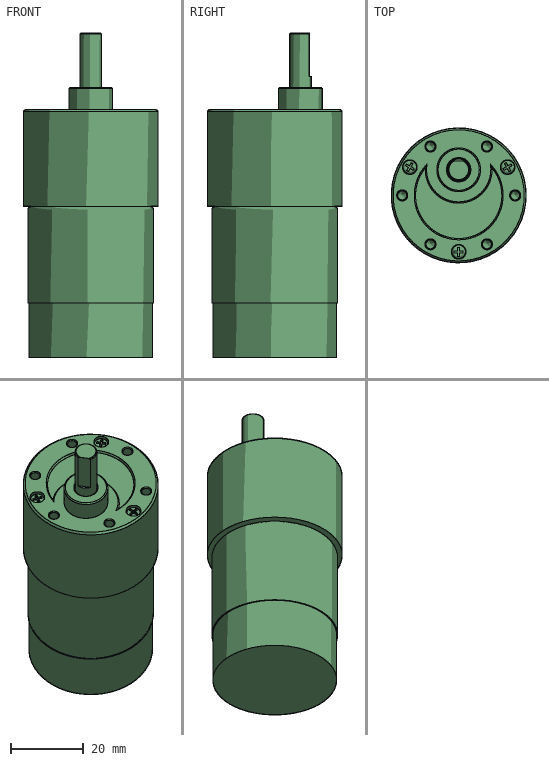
import cadquery as cq
import math

total_height = 89.0
end_cap_diameter = 34.0
end_cap_height = 14.95
motor_diameter = 34.5
motor_height = 26.5
motor_top_rounding = 1.0
gearbox_diameter = 37.0
gearbox_height = 26.6
gearbox_chamfer = 0.5

shaft_offset = 7.0
boss_diameter = 12.0
boss_height = 6.05
boss_chamfer = 0.4
shaft_diameter = 6.0
shaft_chamfer = 0.3
flat_depth = 0.5
flat_start = 3.0
bore_diameter = 6.1
bore_depth = 1.0
bore_chamfer = 0.3

recess_diameter = 24.4
recess_island_diameter = 17.6
recess_depth = 0.5
recess_wall_slope = 0.4

bolt_circle_radius = 15.5
hole_count = 6
hole_diameter = 2.5
hole_chamfer = 0.3
hole_depth = 4.0
drill_tip_angle = 118
screw_count = 3
screw_first_angle = 30
screw_bore_diameter = 4.0
screw_bore_depth = 2.0
screw_head_diameter = 3.7
screw_head_height = 1.5
screw_head_rounding = 0.5
cross_length = 2.5
cross_width = 0.5
cross_depth = 0.7

motor_top = end_cap_height + motor_height
gearbox_top = motor_top + gearbox_height
boss_top = gearbox_top + boss_height


def cylinder(diameter, bottom, height, y=0):
    return cq.Workplane("XY", origin=(0, y, bottom)).circle(diameter / 2).extrude(height)


def polar_points(count, first_angle):
    pattern = cq.Workplane("XY", origin=(0, 0, gearbox_top))
    return pattern.polarArray(bolt_circle_radius, first_angle, 360, count)


def make_housing():
    end_cap = cylinder(end_cap_diameter, 0, end_cap_height)
    motor = cylinder(motor_diameter, end_cap_height, motor_height)
    motor = motor.faces(">Z").edges().fillet(motor_top_rounding)
    gearbox = cylinder(gearbox_diameter, motor_top, gearbox_height)
    gearbox = gearbox.faces(">Z").edges().chamfer(gearbox_chamfer)
    return end_cap.union(motor).union(gearbox)


def make_recess():
    """Pocket around a boss island; both walls lean so the floor is narrower than the rim."""
    bottom = gearbox_top - recess_depth
    rim_radius = recess_diameter / 2
    island_radius = recess_island_diameter / 2
    pocket = cq.Solid.makeCone(
        rim_radius - recess_wall_slope, rim_radius, recess_depth, cq.Vector(0, 0, bottom)
    )
    island = cq.Solid.makeCone(
        island_radius + recess_wall_slope, island_radius, recess_depth, cq.Vector(0, shaft_offset, bottom)
    )
    return cq.Workplane(pocket.cut(island))


def make_boss():
    boss = cylinder(boss_diameter, gearbox_top, boss_height, shaft_offset)
    boss = boss.faces(">Z").edges().chamfer(boss_chamfer)
    bore = cylinder(bore_diameter, boss_top - bore_depth, bore_depth, shaft_offset)
    boss = boss.cut(bore)
    bore_rim = boss.faces(">Z").edges(cq.selectors.RadiusNthSelector(0))
    return bore_rim.chamfer(bore_chamfer)


def make_shaft():
    bottom = boss_top - bore_depth
    shaft = cylinder(shaft_diameter, bottom, total_height - bottom, shaft_offset)
    shaft = shaft.faces(">Z").edges().chamfer(shaft_chamfer)
    flat_bottom = boss_top + flat_start
    flat_y = shaft_offset + shaft_diameter / 2 - flat_depth
    flat_cutter = cq.Workplane("XY", origin=(0, flat_y, flat_bottom)).box(
        shaft_diameter, shaft_diameter, total_height - flat_bottom, centered=(True, False, False)
    )
    return shaft.cut(flat_cutter)


def make_mounting_hole():
    """Chamfered drilled hole with its mouth at the origin."""
    hole = cylinder(hole_diameter, -hole_depth, hole_depth)
    tip_half_angle = drill_tip_angle / 2
    tip_height = hole_diameter / 2 / math.tan(math.radians(tip_half_angle))
    tip = cq.Workplane(cq.Solid.makeCone(0, hole_diameter / 2, tip_height))
    tip = tip.translate((0, 0, -hole_depth - tip_height))
    mouth = cq.Workplane(
        cq.Solid.makeCone(hole_diameter / 2, hole_diameter / 2 + hole_chamfer, hole_chamfer)
    ).translate((0, 0, -hole_chamfer))
    return hole.union(tip).union(mouth)


def make_screw_recess():
    """Counterbore around a rounded cross-head screw, with its mouth at the origin."""
    head_top = screw_head_height - screw_bore_depth
    bore = cylinder(screw_bore_diameter, -screw_bore_depth, screw_bore_depth)
    head = cylinder(screw_head_diameter, -screw_bore_depth, screw_head_height)
    head = head.faces(">Z").edges().fillet(screw_head_rounding)
    slots = cq.Workplane("XY", origin=(0, 0, head_top))
    along = slots.rect(cross_length, cross_width).extrude(-cross_depth)
    across = slots.rect(cross_width, cross_length).extrude(-cross_depth)
    return bore.cut(head.cut(along).cut(across))


def place_on_bolt_circle(cutter, count, first_angle):
    shape = cutter.val()
    return polar_points(count, first_angle).eachpoint(shape, combine=False)


result = make_housing().cut(make_recess()).union(make_boss()).union(make_shaft())
result = result.cut(place_on_bolt_circle(make_mounting_hole(), hole_count, 0))
result = result.cut(place_on_bolt_circle(make_screw_recess(), screw_count, screw_first_angle))